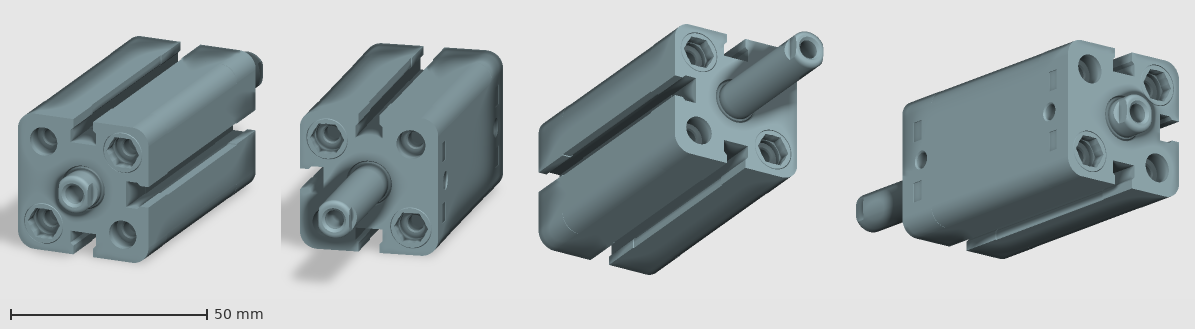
import cadquery as cq
import math


total_length = 110.1
front_stub = 6.4
housing_length = 67.3
cap_length = 11.9
front_face_y = front_stub
rear_face_y = front_face_y + housing_length
barrel_length = housing_length - 2 * cap_length
side = 36.3
half_side = side / 2

cap_corner_radius = 4.5
barrel_corner_radius = 4.7
slot_width = 7.0
slot_lip = 2.3
cap_mouth_width = 5.5
cap_slot_depth = 6.3
barrel_mouth_width = 6.1
barrel_slot_depth = 6.1
slot_angles = (0, 90, 180)

rod_diameter = 10.0
rod_rounding = 1.2
flat_distance = 8.0
flat_length = 3.2
rod_thread_diameter = 5.0
rod_thread_depth = 13.2
rod_countersink_diameter = 6.4

rod_groove_outer = 12.0
rod_groove_bottom = 11.5
rod_groove_inner = 10.9
rod_groove_depth = 0.5

hole_offset = 11.0
mount_hole_diameter = 7.6
mount_hole_depth = 4.8
thread_diameter = 5.0
thread_core_diameter = 4.2
thread_core_depth = 3.9
thread_chamfer = (thread_diameter - thread_core_diameter) / 2

hex_flats = 7.8
hex_round_diameter = 8.0
hex_depth = 3.3
head_diameter = 10.9
head_groove_inner = 10.5
head_groove_depth = 0.4

port_from_face = 7.6
port_depth = 5.5
label_from_face = 6.2
label_height_offset = 8.0
label_length = 3.2
label_height = 5.2
label_depth = 0.2


def extrude_along_y(sketch, length):
    """Extrude a sketch drawn on an XZ workplane toward +Y."""
    return sketch.extrude(-length)


def slot_cutter(start_y, length, mouth_width, depth):
    """T-slot cutter for the top side, with 45 degree shoulders under the lips."""
    mouth = mouth_width / 2
    inner = slot_width / 2
    lip_z = half_side - slot_lip
    shoulder_z = lip_z - (inner - mouth)
    floor_z = half_side - depth
    right_edge = [(mouth, half_side), (mouth, lip_z), (inner, shoulder_z), (inner, floor_z)]
    left_edge = [(-x, z) for x, z in reversed(right_edge)]
    sketch = cq.Workplane("XZ", origin=(0, start_y, 0)).polyline(right_edge + left_edge).close()
    return extrude_along_y(sketch, length)


def slotted_block(start_y, length, corner_radius, mouth_width, slot_depth):
    """Square block with rounded edges, three T-slots and a bore that fits the rod."""
    block = extrude_along_y(cq.Workplane("XZ", origin=(0, start_y, 0)).rect(side, side), length)
    block = block.edges("|Y").fillet(corner_radius)
    cutter = slot_cutter(start_y, length, mouth_width, slot_depth)
    for angle in slot_angles:
        block = block.cut(cutter.rotate((0, 0, 0), (0, 1, 0), angle))
    bore = extrude_along_y(cq.Workplane("XZ", origin=(0, start_y, 0)).circle(rod_diameter / 2), length)
    return block.cut(bore)


def revolved_about_y(profile, x=0, z=0):
    """Revolve a list of (radius, y) points about the line parallel to Y through (x, z)."""
    sketch = cq.Workplane("XY").polyline(profile).close()
    return sketch.revolve(360, (0, 0, 0), (0, 1, 0)).translate((x, 0, z))


def rod_groove():
    """V-shaped groove round the rod in the front face."""
    return revolved_about_y([
        (rod_groove_outer / 2, front_face_y),
        (rod_groove_bottom / 2, front_face_y + rod_groove_depth),
        (rod_groove_inner / 2, front_face_y),
    ])


def mounting_hole(x, z):
    """Clearance hole with a smaller, chamfered thread hole in its floor."""
    floor_y = front_face_y + mount_hole_depth
    end_y = floor_y + thread_core_depth
    return revolved_about_y([
        (0, front_face_y),
        (mount_hole_diameter / 2, front_face_y),
        (mount_hole_diameter / 2, floor_y),
        (thread_diameter / 2, floor_y),
        (thread_core_diameter / 2, floor_y + thread_chamfer),
        (thread_core_diameter / 2, end_y),
        (0, end_y),
    ], x, z)


def hex_socket(x, z):
    """Hexagon recess with flats at the top and bottom, widened by a round bore of the same depth."""
    across_corners = hex_flats / math.cos(math.pi / 6)
    plane = cq.Workplane("XZ", origin=(x, front_face_y, z))
    hexagon = extrude_along_y(plane.polygon(6, across_corners), hex_depth)
    bore = extrude_along_y(plane.circle(hex_round_diameter / 2), hex_depth)
    return hexagon.union(bore)


def head_groove(x, z):
    """Groove with a straight outer wall and a conical inner wall round a hexagon socket."""
    return revolved_about_y([
        (head_diameter / 2, front_face_y),
        (head_diameter / 2, front_face_y + head_groove_depth),
        (head_groove_inner / 2, front_face_y),
    ], x, z)


def air_port():
    """Chamfered thread hole that enters from the left side."""
    mouth = cq.Workplane("YZ", origin=(-half_side, front_face_y + port_from_face, 0))
    core = mouth.circle(thread_core_diameter / 2).extrude(port_depth)
    cone = cq.Solid.makeCone(
        thread_diameter / 2, thread_core_diameter / 2, thread_chamfer,
        cq.Vector(-half_side, front_face_y + port_from_face, 0), cq.Vector(1, 0, 0),
    )
    return core.union(cq.Workplane(cone))


def label_recesses():
    """Two shallow rectangular recesses, above and below the air port."""
    plane = cq.Workplane("YZ", origin=(-half_side, front_face_y + label_from_face, 0))
    centres = [(0, label_height_offset), (0, -label_height_offset)]
    return plane.pushPoints(centres).rect(label_length, label_height).extrude(label_depth)


def make_front_cap():
    cap = slotted_block(front_face_y, cap_length, cap_corner_radius, cap_mouth_width, cap_slot_depth)
    cap = cap.cut(rod_groove())
    for x in (-hole_offset, hole_offset):
        for z in (-hole_offset, hole_offset):
            cap = cap.cut(mounting_hole(x, z))
            if x == z:
                cap = cap.cut(hex_socket(x, z)).cut(head_groove(x, z))
    return cap.cut(air_port()).cut(label_recesses())


def make_rear_cap(front):
    """Mirror image of the front cap about the middle of the housing."""
    middle_y = (front_face_y + rear_face_y) / 2
    return front.mirror("XZ", (0, middle_y, 0))


def make_barrel():
    return slotted_block(
        front_face_y + cap_length, barrel_length,
        barrel_corner_radius, barrel_mouth_width, barrel_slot_depth,
    )


def front_rod_end_cutter():
    """Everything removed at the front rod end: two wrench flats and the countersunk thread hole."""
    rod_radius = rod_diameter / 2
    flat_x = flat_distance / 2
    ramp = rod_radius - flat_x
    flat = (
        cq.Workplane("XY", origin=(0, 0, -rod_radius))
        .polyline([(flat_x, 0), (flat_x, flat_length), (rod_radius, flat_length + ramp), (rod_radius, 0)])
        .close()
        .extrude(rod_diameter)
    )
    thread_radius = rod_thread_diameter / 2
    countersink_radius = rod_countersink_diameter / 2
    hole = revolved_about_y([
        (0, 0),
        (countersink_radius, 0),
        (thread_radius, countersink_radius - thread_radius),
        (thread_radius, rod_thread_depth),
        (0, rod_thread_depth),
    ])
    return flat.union(flat.mirror("YZ")).union(hole)


def make_rod():
    rod = extrude_along_y(cq.Workplane("XZ").circle(rod_diameter / 2), total_length)
    rod = rod.faces("<Y or >Y").edges().fillet(rod_rounding)
    end_cutter = front_rod_end_cutter()
    rod = rod.cut(end_cutter)
    return rod.cut(end_cutter.mirror("XZ", (0, total_length / 2, 0)))


front_cap = make_front_cap()
rear_cap = make_rear_cap(front_cap)
barrel = make_barrel()
rod = make_rod()

result = cq.Compound.makeCompound([front_cap.val(), rear_cap.val(), barrel.val(), rod.val()])